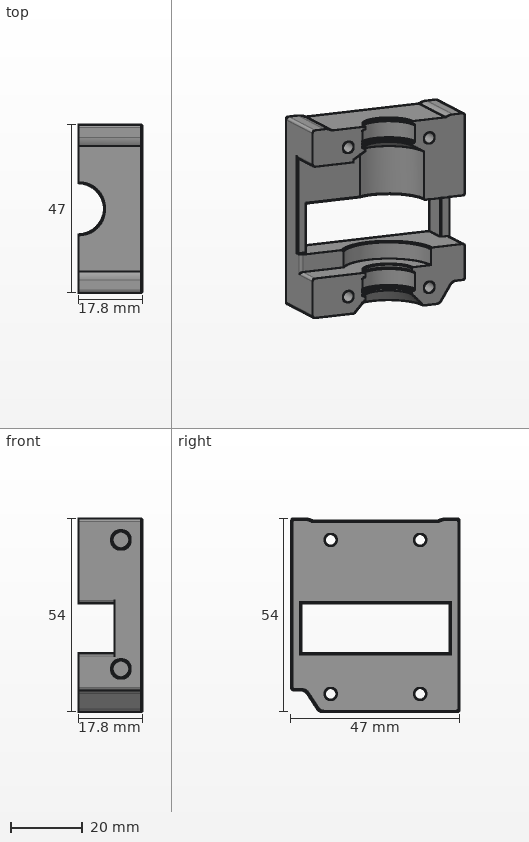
import cadquery as cq
THICKNESS = 17.8
WIDTH = 47.0
HEIGHT = 54.0
HALF_WIDTH = WIDTH / 2

CORNER_RADIUS = 0.8
EDGE_CHAMFER = 0.4

PAD_HEIGHT = 0.6
PAD_FLAT = 3.65
PAD_WIDTH = 6.0
TOP_Z = HEIGHT - PAD_HEIGHT

NOTCH_Z = 6.05
NOTCH_INNER_Y = -15.65
NOTCH_OUTER_Y = -19.6
NOTCH_RADIUS = 2.0

SLOT_DEPTH = 10.0
SLOT_BOTTOM = 16.4
SLOT_TOP = 30.35
WINDOW_HALF_WIDTH = 20.65
WINDOW_CHAMFER = 0.3

UPPER_CHAMBER_RADIUS = 10.8
UPPER_CHAMBER_TOP = 44.3
UPPER_POCKET_TOP = 43.5
LOWER_CHAMBER_RADIUS = 12.95
LOWER_CHAMBER_FLOOR = 11.4
LEDGE_DEPTH = 8.05

LIP_RADIUS = 7.15
LIP_CHAMFER = 0.25
GROOVE_RADIUS = 8.15
GROOVE_CORNER = 0.45
GROOVE_WIDTH = 5.45
UPPER_GROOVE_BOTTOM = 47.1
UPPER_CONE_TOP = 46.45
LOWER_GROOVE_BOTTOM = 4.6
LOWER_CONE_TOP = 3.65
LOWER_CONE_RADIUS = 10.7

SCREW_DIAMETER = 3.3
SCREW_Y = 12.5
SCREW_UPPER_Z = 48.0
SCREW_LOWER_Z = 5.1

SIDE_HOLE_DIAMETER = 4.7
SIDE_HOLE_DEPTH = 8.1
SIDE_HOLE_X = 11.8
SIDE_HOLE_ZS = (SCREW_UPPER_Z, 12.05)


def box(x_range, y_range, z_range):
    """Block spanning the given (low, high) ranges."""
    lows, highs = zip(x_range, y_range, z_range)
    sizes = [high - low for low, high in zip(lows, highs)]
    return cq.Workplane("XY").box(*sizes, centered=False).translate(lows)


def edges_near(body, direction, x, y, z):
    """Edges parallel to an axis whose centres lie close to the given point."""
    reach = CORNER_RADIUS
    low = (x - reach, y - reach, z - reach)
    high = (x + reach, y + reach, z + reach)
    return body.edges(direction).edges(cq.selectors.BoxSelector(low, high))


def make_body():
    """Plate with top pads, a corner notch and a chamfered back rim."""
    pad_start = HALF_WIDTH - PAD_WIDTH
    pad_end = HALF_WIDTH - PAD_FLAT
    arc_run = PAD_WIDTH - PAD_FLAT
    arc_radius = (arc_run**2 + PAD_HEIGHT**2) / (2 * PAD_HEIGHT)
    body = (
        cq.Workplane("YZ")
        .moveTo(NOTCH_INNER_Y, 0)
        .lineTo(HALF_WIDTH, 0)
        .lineTo(HALF_WIDTH, HEIGHT)
        .lineTo(pad_end, HEIGHT)
        .radiusArc((pad_start, TOP_Z), -arc_radius)
        .lineTo(-pad_start, TOP_Z)
        .radiusArc((-pad_end, HEIGHT), -arc_radius)
        .lineTo(-HALF_WIDTH, HEIGHT)
        .lineTo(-HALF_WIDTH, NOTCH_Z)
        .lineTo(NOTCH_OUTER_Y, NOTCH_Z)
        .close()
        .extrude(THICKNESS - EDGE_CHAMFER)
    )
    mid_x = (THICKNESS - EDGE_CHAMFER) / 2
    outer_corners = (
        (HALF_WIDTH, 0),
        (HALF_WIDTH, HEIGHT),
        (-HALF_WIDTH, HEIGHT),
        (-HALF_WIDTH, NOTCH_Z),
    )
    for y, z in outer_corners:
        body = edges_near(body, "|X", mid_x, y, z).fillet(CORNER_RADIUS)
    for y, z in ((NOTCH_INNER_Y, 0), (NOTCH_OUTER_Y, NOTCH_Z)):
        body = edges_near(body, "|X", mid_x, y, z).fillet(NOTCH_RADIUS)
    back_rim = body.faces(">X").wires().toPending().workplane().extrude(EDGE_CHAMFER, combine=False, taper=45)
    return body.union(back_rim)


def cut_slot_and_pockets(body):
    """Slot across the front plus the +Y pockets above and below it."""
    body = body.cut(box((0, SLOT_DEPTH), (-HALF_WIDTH, HALF_WIDTH), (SLOT_BOTTOM, SLOT_TOP)))
    body = body.cut(box((0, SLOT_DEPTH), (0, HALF_WIDTH), (SLOT_TOP, UPPER_POCKET_TOP)))
    body = body.cut(box((0, LEDGE_DEPTH), (0, HALF_WIDTH), (LOWER_CHAMBER_FLOOR, SLOT_BOTTOM)))

    for z in (SLOT_BOTTOM, SLOT_TOP):
        body = edges_near(body, "|X", SLOT_DEPTH / 2, -HALF_WIDTH, z).fillet(CORNER_RADIUS)
    body = edges_near(body, "|X", SLOT_DEPTH / 2, HALF_WIDTH, UPPER_POCKET_TOP).fillet(CORNER_RADIUS)
    body = edges_near(body, "|X", LEDGE_DEPTH / 2, HALF_WIDTH, LOWER_CHAMBER_FLOOR).fillet(CORNER_RADIUS)

    wall_mid_z = (SLOT_BOTTOM + UPPER_POCKET_TOP) / 2
    body = edges_near(body, "|Z", SLOT_DEPTH, HALF_WIDTH, wall_mid_z).chamfer(EDGE_CHAMFER)
    ledge_mid_z = (LOWER_CHAMBER_FLOOR + SLOT_BOTTOM) / 2
    body = edges_near(body, "|Z", LEDGE_DEPTH, HALF_WIDTH, ledge_mid_z).fillet(CORNER_RADIUS)
    return body


def cut_window(body):
    """Window through the back, chamfered where it meets the slot wall and around its back rim."""
    window = box(
        (SLOT_DEPTH, THICKNESS),
        (-WINDOW_HALF_WIDTH, WINDOW_HALF_WIDTH),
        (SLOT_BOTTOM, SLOT_TOP),
    )
    body = body.cut(window)
    mid_z = (SLOT_BOTTOM + SLOT_TOP) / 2
    for y in (-WINDOW_HALF_WIDTH, WINDOW_HALF_WIDTH):
        body = edges_near(body, "|Z", SLOT_DEPTH, y, mid_z).chamfer(WINDOW_CHAMFER)

    wedge = (
        cq.Workplane("XZ")
        .moveTo(SLOT_DEPTH, SLOT_TOP)
        .lineTo(SLOT_DEPTH + WINDOW_CHAMFER, SLOT_TOP)
        .lineTo(SLOT_DEPTH, SLOT_TOP + WINDOW_CHAMFER)
        .close()
        .extrude(-WINDOW_HALF_WIDTH)
    )
    body = body.cut(wedge)

    window_reach = cq.selectors.BoxSelector(
        (THICKNESS - EDGE_CHAMFER / 2, -HALF_WIDTH + CORNER_RADIUS, SLOT_BOTTOM - CORNER_RADIUS),
        (THICKNESS + EDGE_CHAMFER / 2, HALF_WIDTH - CORNER_RADIUS, SLOT_TOP + CORNER_RADIUS),
    )
    return body.edges(window_reach).chamfer(EDGE_CHAMFER)


def revolve_about_z(points):
    """Solid of revolution from (radius, z) points; the outline closes along the axis."""
    outline = [(0, points[0][1]), *points, (0, points[-1][1])]
    return cq.Workplane("XZ").polyline(outline).close().revolve(360, (0, 0), (0, 1))


def groove_points(bottom):
    """Profile of a groove with bevelled corners and bevelled lips, from bottom to top."""
    top = bottom + GROOVE_WIDTH
    shoulder = GROOVE_RADIUS - GROOVE_CORNER
    return [
        (LIP_RADIUS, bottom - LIP_CHAMFER),
        (LIP_RADIUS + LIP_CHAMFER, bottom),
        (shoulder, bottom),
        (GROOVE_RADIUS, bottom + GROOVE_CORNER),
        (GROOVE_RADIUS, top - GROOVE_CORNER),
        (shoulder, top),
        (LIP_RADIUS + LIP_CHAMFER, top),
        (LIP_RADIUS, top + LIP_CHAMFER),
    ]


def make_upper_bore():
    """Upper chamber, cone and grooved bore up to the top face."""
    return revolve_about_z([
        (UPPER_CHAMBER_RADIUS + EDGE_CHAMFER, SLOT_TOP),
        (UPPER_CHAMBER_RADIUS, SLOT_TOP + EDGE_CHAMFER),
        (UPPER_CHAMBER_RADIUS, UPPER_CHAMBER_TOP),
        (LIP_RADIUS, UPPER_CONE_TOP),
        *groove_points(UPPER_GROOVE_BOTTOM),
        (LIP_RADIUS, TOP_Z - LIP_CHAMFER),
        (LIP_RADIUS + LIP_CHAMFER, TOP_Z),
    ])


def make_lower_bore():
    """Bottom cone, grooved bore and lower chamber up to the slot."""
    return revolve_about_z([
        (LOWER_CONE_RADIUS, 0),
        (LIP_RADIUS, LOWER_CONE_TOP),
        *groove_points(LOWER_GROOVE_BOTTOM),
        (LIP_RADIUS, LOWER_CHAMBER_FLOOR - LIP_CHAMFER),
        (LIP_RADIUS + LIP_CHAMFER, LOWER_CHAMBER_FLOOR),
        (LOWER_CHAMBER_RADIUS, LOWER_CHAMBER_FLOOR),
        (LOWER_CHAMBER_RADIUS, SLOT_BOTTOM - EDGE_CHAMFER),
        (LOWER_CHAMBER_RADIUS + EDGE_CHAMFER, SLOT_BOTTOM),
    ])


def make_screw_holes():
    """Four through holes along X."""
    centres = [(y, z) for y in (-SCREW_Y, SCREW_Y) for z in (SCREW_LOWER_Z, SCREW_UPPER_Z)]
    return cq.Workplane("YZ").pushPoints(centres).circle(SCREW_DIAMETER / 2).extrude(THICKNESS)


def make_side_hole(z):
    """Blind hole entering the -Y side, with a chamfered mouth."""
    radius = SIDE_HOLE_DIAMETER / 2
    mouth = cq.Solid.makeCone(radius + EDGE_CHAMFER, radius, EDGE_CHAMFER)
    hole = cq.Workplane("XY").circle(radius).extrude(SIDE_HOLE_DEPTH).union(cq.Workplane(mouth))
    return hole.rotate((0, 0, 0), (1, 0, 0), -90).translate((SIDE_HOLE_X, -HALF_WIDTH, z))


result = cut_window(cut_slot_and_pockets(make_body()))
result = result.cut(make_upper_bore()).cut(make_lower_bore()).cut(make_screw_holes())
for hole_z in SIDE_HOLE_ZS:
    result = result.cut(make_side_hole(hole_z))